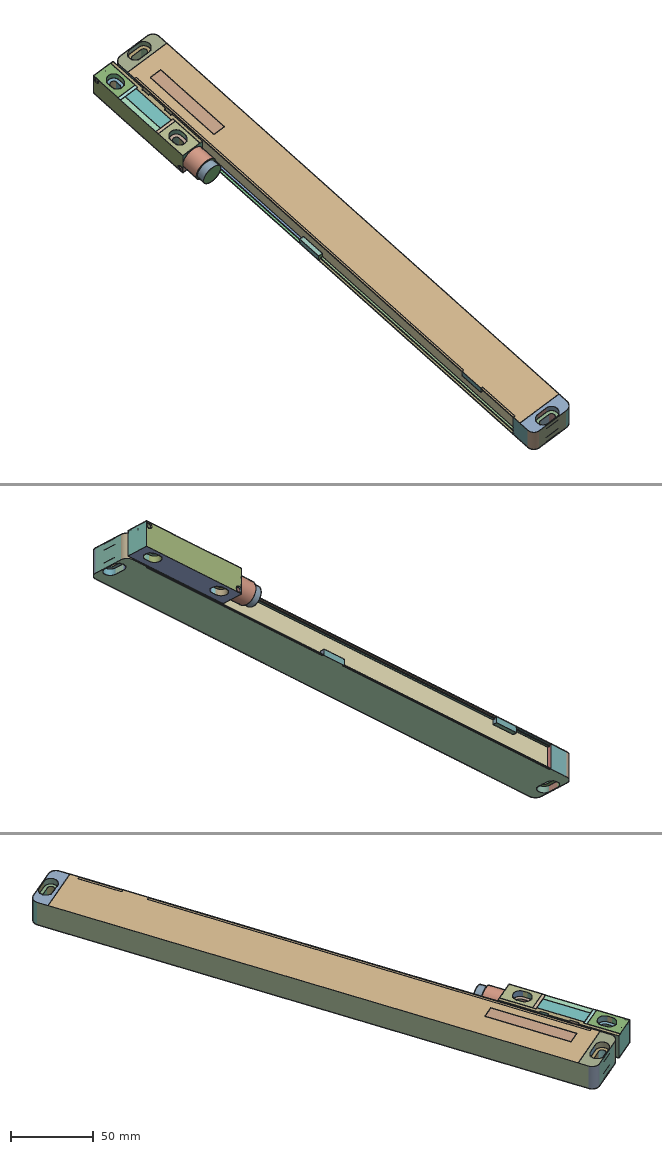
import cadquery as cq

height = 18.0
scale_length = 375.0
scale_width = 32.0
head_width = 16.0
running_gap = 1.0
scale_front = head_width + running_gap
scale_middle = scale_front + scale_width / 2

corner_radius = 5.0
cap_length = 12.0
cap_step = 0.1
channel_depth = 3.0
channel_end_wall = 18.0
channel_lip = 1.25
mouth_depth = 1.5
mouth_lip = 0.5
tab_length = 17.0
tab_height = 4.5
lower_tab_x = 166.0
upper_tab_x = 311.0
label_x = 24.0
label_y = 24.5
label_length = 57.0
label_width = 8.5
label_depth = 0.2

slot_bore = 4.5
slot_counterbore = 9.0
counterbore_depth = 4.5
cap_slot_travel = 7.0
cap_slot_inset = 5.0
head_slot_travel = 3.0

head_length = 80.0
pad_width = 14.0
pad_length = 22.0
pad_ledge = 2.2
pad_step = 0.1
plate_y = 3.8
plate_width = 9.0
head_slot_inset = 12.0
rear_notch_positions = (27.0, 47.0)
rear_notch_length = 5.7
rear_notch_depth = 1.0
rear_notch_height = 2.0
corner_hole_diameter = 3.2
corner_countersink_diameter = 4.4
corner_countersink_depth = 0.6
corner_hole_inset = 2.3
corner_hole_depth = 8.0
drill_tip_length = 1.2

connector_diameter = 16.0
connector_length = 12.0
cable_sleeve_diameter = 14.0
cable_sleeve_length = 5.5


def box(x, y, z, length, width, tall):
    """Box placed by its lowest corner."""
    return cq.Workplane("XY").box(length, width, tall, centered=False).translate((x, y, z))


def slot_prism(x, y, z, travel, diameter, tall, angle):
    """Upright slot centred on x, y and standing on z."""
    return (
        cq.Workplane("XY", origin=(x, y, z))
        .slot2D(travel + diameter, diameter, angle)
        .extrude(tall)
    )


def screw_slot(x, y, travel, angle):
    """Through slot with a counterbore at the top and at the bottom."""
    bore = slot_prism(x, y, 0, travel, slot_bore, height, angle)
    lower = slot_prism(x, y, 0, travel, slot_counterbore, counterbore_depth, angle)
    upper = lower.translate((0, 0, height - counterbore_depth))
    return bore.union(lower).union(upper)


def make_scale():
    body = box(0, scale_front, 0, scale_length, scale_width, height).edges("|Z").fillet(corner_radius)

    channel_length = scale_length - 2 * channel_end_wall
    for depth, lip in ((channel_depth, channel_lip), (mouth_depth, mouth_lip)):
        body = body.cut(box(channel_end_wall, scale_front, lip, channel_length, depth, height - 2 * lip))
    for x, z in ((lower_tab_x, 0), (upper_tab_x, height - tab_height)):
        body = body.union(box(x, scale_front, z, tab_length, channel_depth, tab_height))

    for cap_x, slot_x in ((0, cap_slot_inset), (scale_length - cap_length, scale_length - cap_slot_inset)):
        body = body.cut(box(cap_x, scale_front, height - cap_step, cap_length, scale_width, cap_step))
        body = body.cut(screw_slot(slot_x, scale_middle, cap_slot_travel, 90))

    return body.cut(box(label_x, label_y, height - label_depth, label_length, label_width, label_depth))


def corner_hole(x, z):
    """Blind countersunk hole with a conical tip, entering from the front face."""
    radius = corner_hole_diameter / 2
    profile = (
        cq.Workplane("XY")
        .polyline([
            (0, 0),
            (corner_countersink_diameter / 2, 0),
            (radius, corner_countersink_depth),
            (radius, corner_hole_depth),
            (0, corner_hole_depth + drill_tip_length),
        ])
        .close()
    )
    return profile.revolve(360, (0, 0, 0), (0, 1, 0)).translate((x, 0, z))


def make_head():
    ledge_z = height - pad_step
    deck_z = ledge_z - pad_step
    ledge_length = pad_length + pad_ledge
    middle_length = head_length - 2 * ledge_length
    body = box(0, 0, 0, head_length, head_width, deck_z)

    for pad_x, ledge_x in ((0, 0), (head_length - pad_length, head_length - ledge_length)):
        body = body.union(box(ledge_x, 0, deck_z, ledge_length, pad_width, pad_step))
        body = body.union(box(pad_x, 0, ledge_z, pad_length, pad_width, pad_step))

    body = body.cut(box(ledge_length, plate_y, deck_z - pad_step, middle_length, plate_width, pad_step))

    for x in (head_slot_inset, head_length - head_slot_inset):
        body = body.cut(screw_slot(x, pad_width / 2, head_slot_travel, 0))

    notch_y = head_width - rear_notch_depth
    notch_z = height - rear_notch_height
    for x in rear_notch_positions:
        notch = box(x, notch_y, notch_z, rear_notch_length, rear_notch_depth, rear_notch_height)
        body = body.cut(notch)

    body = body.cut(corner_hole(corner_hole_inset, height - corner_hole_inset))
    body = body.cut(corner_hole(head_length - corner_hole_inset, corner_hole_inset))

    connector_start = cq.Workplane("YZ", origin=(head_length, head_width / 2, height / 2))
    connector = connector_start.circle(connector_diameter / 2).extrude(connector_length)
    sleeve = connector.faces(">X").workplane().circle(cable_sleeve_diameter / 2).extrude(cable_sleeve_length)
    return body.union(sleeve)


scale = make_scale()
head = make_head()
result = cq.Compound.makeCompound([scale.val(), head.val()])